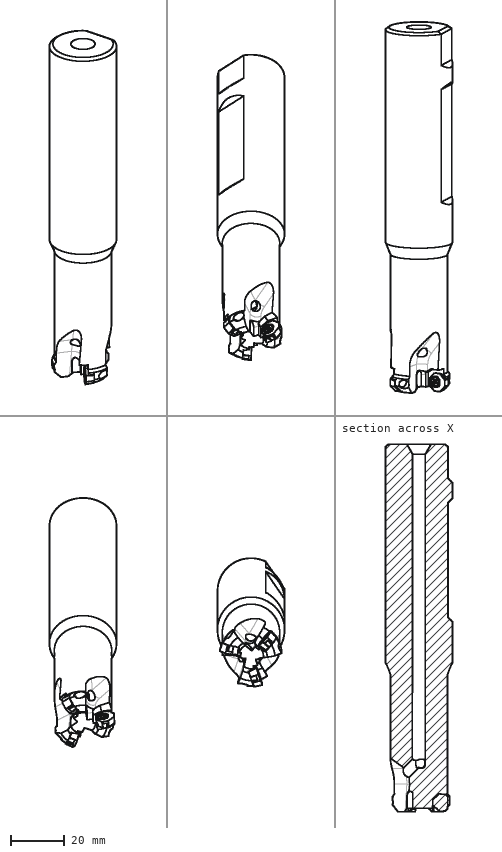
import cadquery as cq
import math

TOTAL_LENGTH = 138.7
SHANK_DIAMETER = 25.4
SHANK_R = SHANK_DIAMETER / 2
SHANK_BOTTOM_Z = 56.3
TOP_CHAMFER_HEIGHT = 1.0
TOP_CHAMFER_WIDTH = 1.32
NECK_R = 10.8
NECK_TOP_Z = 51.7
HEAD_R = 11.7
HEAD_TOP_Z = 5.7
HEAD_FLARE_TOP_Z = 6.8
HEAD_CHAMFER = 2.6
CORE_RECESS_R = 6.1
CORE_RECESS_DEPTH = 1.4
CORE_RECESS_TAPER = 45.0

FLAT_Y = 11.0
UPPER_FLAT_END_Z = 125.8
LOWER_FLAT_TOP_Z = 116.5
LOWER_FLAT_BOTTOM_Z = 73.4

BORE_R = 2.4
BORE_MOUTH_R = 4.6
BORE_MOUTH_HALF_ANGLE = 30.0
BORE_BOTTOM_Z = 19.5
BRANCH_R = 2.0
BRANCH_LENGTH = 12.5
BRANCH_DROP_ANGLE = 45.0
BRANCH_AZIMUTH = -87.0

FLUTE_COUNT = 3
FLOOR_NORMAL_AZIMUTH = -37.0
FLOOR_DISTANCE = 1.2
WALL_AZIMUTH = -55.0
WALL_DISTANCE = 1.0
WALL_PIVOT_Z = 8.7
WALL_TILT = 4.5
FLUTE_CORNER_R = 2.6
RUNOUT_START_Z = 10.5
RUNOUT_ARC_RISE = 6.0
RUNOUT_ANGLE = 40.0
CUTTER_REACH = 16.6
BOTTOM_OVERCUT = 1.4

RAKE_AZIMUTH = -45.0
RAKE_OFFSET = 0.4
INSERT_SIZE = 7.0
INSERT_THICKNESS = 3.2
INSERT_OUTER = 12.0
INSERT_CORNER_CUT = 2.2
INSERT_CLEARANCE_ANGLE = 6.0
SCREW_X = 7.6
SCREW_Z = 3.6
SCREW_HEAD_R = 1.7
COUNTERSINK_R = 2.1
COUNTERSINK_DEPTH = 0.7
SOCKET_WIDTH = 1.7
SOCKET_DEPTH = 1.2

POCKET_INNER_X = 3.9
POCKET_ROOF_Z = 8.7
POCKET_ROOF_START_X = 7.0
POCKET_BACK_Y = -0.5
CORE_SLOT_X = 1.8
CORE_SLOT_Y = (1.2, 4.5)
CORE_SLOT_TOP_Z = 7.8
SCREW_HOLE_R = 1.7
SCREW_HOLE_TILT = 15.0

INSERT_INNER = INSERT_OUTER - INSERT_SIZE
SEAT_Y = RAKE_OFFSET - INSERT_THICKNESS


def unit(azimuth):
    """Horizontal unit vector at an azimuth in degrees."""
    return cq.Vector(math.cos(math.radians(azimuth)), math.sin(math.radians(azimuth)), 0)


def from_insert_frame(shape):
    """Turn a shape from the insert frame into its place in the first flute."""
    return shape.mirror("XZ").rotate((0, 0, 0), (0, 0, 1), RAKE_AZIMUTH)


def turned_copies(shape):
    """One copy of a shape for every flute."""
    step = 360.0 / FLUTE_COUNT
    return [shape.rotate((0, 0, 0), (0, 0, 1), step * i) for i in range(FLUTE_COUNT)]


def box(x0, x1, y0, y1, z0, z1):
    return cq.Workplane("XY").box(x1 - x0, y1 - y0, z1 - z0, centered=False).translate((x0, y0, z0))


def make_blank():
    profile = [
        (0, 0),
        (HEAD_R - HEAD_CHAMFER, 0),
        (HEAD_R, HEAD_CHAMFER),
        (HEAD_R, HEAD_TOP_Z),
        (NECK_R, HEAD_FLARE_TOP_Z),
        (NECK_R, NECK_TOP_Z),
        (SHANK_R, SHANK_BOTTOM_Z),
        (SHANK_R, TOTAL_LENGTH - TOP_CHAMFER_HEIGHT),
        (SHANK_R - TOP_CHAMFER_WIDTH, TOTAL_LENGTH),
        (0, TOTAL_LENGTH),
    ]
    blank = cq.Workplane("XZ").polyline(profile).close().revolve(360, (0, 0), (0, 1))
    recess = cq.Workplane("XY").circle(CORE_RECESS_R).extrude(CORE_RECESS_DEPTH, taper=CORE_RECESS_TAPER)
    return blank.cut(recess)


def make_flats():
    """Two flats with 45 degree ends; the upper one runs out of the top and bevels its edge."""
    depth = SHANK_R - FLAT_Y
    top_inner_y = FLAT_Y - TOP_CHAMFER_WIDTH
    upper = [
        (FLAT_Y, UPPER_FLAT_END_Z),
        (SHANK_R, UPPER_FLAT_END_Z - depth),
        (SHANK_R, TOTAL_LENGTH),
        (top_inner_y, TOTAL_LENGTH),
        (FLAT_Y, TOTAL_LENGTH - TOP_CHAMFER_HEIGHT),
    ]
    lower = [
        (FLAT_Y, LOWER_FLAT_BOTTOM_Z),
        (SHANK_R, LOWER_FLAT_BOTTOM_Z - depth),
        (SHANK_R, LOWER_FLAT_TOP_Z + depth),
        (FLAT_Y, LOWER_FLAT_TOP_Z),
    ]
    plane = cq.Workplane("YZ")
    cutters = [plane.polyline(p).close().extrude(SHANK_R, both=True) for p in (upper, lower)]
    return cutters[0].union(cutters[1])


def make_bore():
    mouth_depth = (BORE_MOUTH_R - BORE_R) / math.tan(math.radians(BORE_MOUTH_HALF_ANGLE))
    profile = [
        (0, BORE_BOTTOM_Z),
        (BORE_R, BORE_BOTTOM_Z),
        (BORE_R, TOTAL_LENGTH - mouth_depth),
        (BORE_MOUTH_R, TOTAL_LENGTH),
        (0, TOTAL_LENGTH),
    ]
    return cq.Workplane("XZ").polyline(profile).close().revolve(360, (0, 0), (0, 1))


def make_branch():
    """Slanted coolant hole from the bore down into a flute."""
    drop = math.radians(BRANCH_DROP_ANGLE)
    direction = unit(BRANCH_AZIMUTH) * math.cos(drop) - cq.Vector(0, 0, math.sin(drop))
    start = cq.Vector(0, 0, BORE_BOTTOM_Z)
    return cq.Workplane(cq.Solid.makeCylinder(BRANCH_R, BRANCH_LENGTH, start, direction))


def make_flute():
    """Flat floor that runs out upwards, meeting a flat side wall in a rounded corner."""
    slope = math.radians(RUNOUT_ANGLE)
    arc_r = RUNOUT_ARC_RISE / math.sin(slope)

    def arc_point(angle):
        return (FLOOR_DISTANCE + arc_r * (1 - math.cos(angle)), RUNOUT_START_Z + arc_r * math.sin(angle))

    arc_end = arc_point(slope)
    ramp_end = (CUTTER_REACH, arc_end[1] + (CUTTER_REACH - arc_end[0]) / math.tan(slope))
    floor_side = (
        cq.Workplane("XZ")
        .moveTo(FLOOR_DISTANCE, -BOTTOM_OVERCUT)
        .lineTo(FLOOR_DISTANCE, RUNOUT_START_Z)
        .threePointArc(arc_point(slope / 2), arc_end)
        .lineTo(*ramp_end)
        .lineTo(CUTTER_REACH, -BOTTOM_OVERCUT)
        .close()
        .extrude(CUTTER_REACH, both=True)
        .rotate((0, 0, 0), (0, 0, 1), FLOOR_NORMAL_AZIMUTH)
    )
    far = 3 * CUTTER_REACH
    pivot = (0, -WALL_DISTANCE, WALL_PIVOT_Z)
    wall_side = (
        box(-far, far, -far, -WALL_DISTANCE, -far, far)
        .rotate(pivot, (1, *pivot[1:]), -WALL_TILT)
        .rotate((0, 0, 0), (0, 0, 1), WALL_AZIMUTH)
    )
    flute = floor_side.intersect(wall_side)
    wall = flute.faces(cq.DirectionMinMaxSelector(unit(WALL_AZIMUTH + 90)))

    def is_floor_corner(edge):
        """True for an edge shared with the floor, not the ends of the wall."""
        centre = edge.Center()
        return centre.z > 0 and centre.dot(unit(FLOOR_NORMAL_AZIMUTH)) < NECK_R

    corner = [edge for edge in wall.edges().vals() if is_floor_corner(edge)]
    return flute.newObject(corner).fillet(FLUTE_CORNER_R)


def make_insert_blank():
    """Square plate with cut corners and relieved sides, in the insert frame."""
    return (
        cq.Workplane("XZ", origin=(0, RAKE_OFFSET, 0))
        .center((INSERT_INNER + INSERT_OUTER) / 2, INSERT_SIZE / 2)
        .sketch()
        .rect(INSERT_SIZE, INSERT_SIZE)
        .vertices()
        .chamfer(INSERT_CORNER_CUT)
        .finalize()
        .extrude(INSERT_THICKNESS, taper=INSERT_CLEARANCE_ANGLE)
    )


def make_pocket():
    """Seat shaped like the insert, chip clearance, round-topped core slot and screw hole."""
    roof_side = [
        (POCKET_INNER_X, -BOTTOM_OVERCUT),
        (POCKET_INNER_X, INSERT_SIZE),
        (POCKET_ROOF_START_X, POCKET_ROOF_Z),
        (CUTTER_REACH, POCKET_ROOF_Z),
        (CUTTER_REACH, -BOTTOM_OVERCUT),
    ]
    clearance = (
        cq.Workplane("XZ", origin=(0, CORE_SLOT_Y[1], 0))
        .polyline(roof_side)
        .close()
        .extrude(CORE_SLOT_Y[1] - POCKET_BACK_Y)
    )
    slot_r = (CORE_SLOT_Y[1] - CORE_SLOT_Y[0]) / 2
    slot_middle = CORE_SLOT_Y[0] + slot_r
    round_z = CORE_SLOT_TOP_Z - slot_r
    slot_end = (
        cq.Workplane("YZ", origin=(CORE_SLOT_X, 0, 0))
        .center(slot_middle, round_z)
        .circle(slot_r)
        .extrude(CUTTER_REACH - CORE_SLOT_X)
    )
    slot = box(CORE_SLOT_X, CUTTER_REACH, *CORE_SLOT_Y, -BOTTOM_OVERCUT, round_z).union(slot_end)
    screw_hole = (
        cq.Workplane("XZ", origin=(SCREW_X, RAKE_OFFSET, SCREW_Z))
        .circle(SCREW_HOLE_R)
        .extrude(CUTTER_REACH)
        .rotate((SCREW_X, RAKE_OFFSET, 0), (SCREW_X, RAKE_OFFSET, 1), SCREW_HOLE_TILT)
    )
    corner_end = INSERT_INNER + INSERT_CORNER_CUT
    under_corner = box(INSERT_INNER, corner_end, SEAT_Y, RAKE_OFFSET, -BOTTOM_OVERCUT, INSERT_CORNER_CUT)
    pocket = make_insert_blank()
    for cutter in (clearance, slot, screw_hole, under_corner):
        pocket = pocket.union(cutter)
    return from_insert_frame(pocket)


def make_holder():
    holder = make_blank().cut(make_flats()).cut(make_bore())
    for cutter in (make_flute(), make_pocket(), make_branch()):
        for copy in turned_copies(cutter):
            holder = holder.cut(copy)
    return holder


def make_insert():
    """Insert with its countersunk screw head."""
    screw_face = cq.Workplane("XZ", origin=(0, RAKE_OFFSET, 0)).center(SCREW_X, SCREW_Z)
    ring = screw_face.circle(COUNTERSINK_R).circle(SCREW_HEAD_R).extrude(COUNTERSINK_DEPTH)
    socket = screw_face.polygon(6, SOCKET_WIDTH).extrude(SOCKET_DEPTH)
    return from_insert_frame(make_insert_blank().cut(ring).cut(socket))


holder = make_holder()
inserts = turned_copies(make_insert())

result = cq.Compound.makeCompound([holder.val(), *[insert.val() for insert in inserts]])